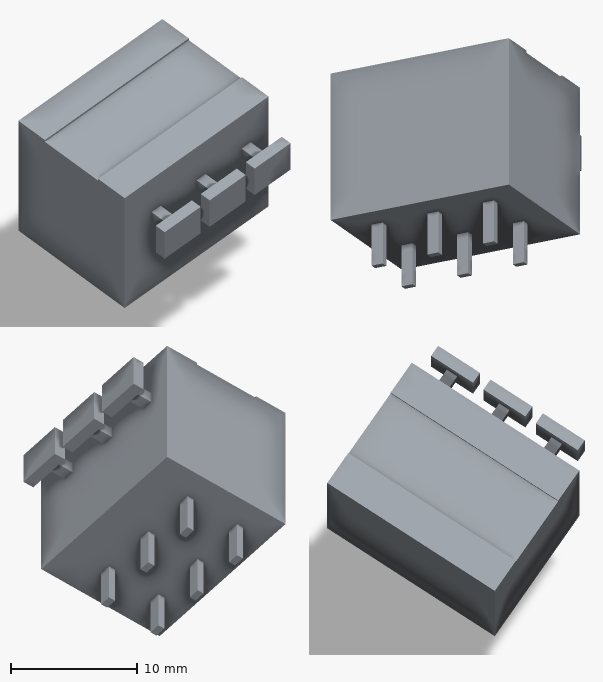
import cadquery as cq

MODULE_COUNT = 3
PITCH = 5.0
HOUSING_LENGTH = 12.0
HOUSING_HEIGHT = 12.5
END_PLATE_THICKNESS = 1.0

RECESS_WIDTH = 6.0
RECESS_DEPTH = 0.2
RECESS_START = (HOUSING_LENGTH - RECESS_WIDTH) / 2

PIN_THICKNESS = 0.6
PIN_WIDTH = 1.0
PIN_LENGTH = 3.5
PIN_SPACING = 5.0
FIRST_PIN_X = 2.7
PIN_Y = 2.1

LEVER_Y = PITCH / 2
LEVER_Z = 8.25
STEM_SIZE = 1.0
STEM_LENGTH = 2.0
PAD_THICKNESS = 1.0
PAD_WIDTH = 4.0
PAD_HEIGHT = 3.0


def make_slice(y_start, thickness):
    """Housing slice with the marking recess running through its top."""
    recess_end = RECESS_START + RECESS_WIDTH
    recess_floor = HOUSING_HEIGHT - RECESS_DEPTH
    return (
        cq.Workplane("XZ", origin=(0, y_start, 0))
        .moveTo(0, 0)
        .lineTo(HOUSING_LENGTH, 0)
        .lineTo(HOUSING_LENGTH, HOUSING_HEIGHT)
        .lineTo(recess_end, HOUSING_HEIGHT)
        .lineTo(recess_end, recess_floor)
        .lineTo(RECESS_START, recess_floor)
        .lineTo(RECESS_START, HOUSING_HEIGHT)
        .lineTo(0, HOUSING_HEIGHT)
        .close()
        .extrude(-thickness)
    )


def make_pins(y_start):
    """Pair of solder pins below one module."""
    return (
        cq.Workplane("XY", origin=(FIRST_PIN_X, y_start + PIN_Y, 0))
        .pushPoints([(0, 0), (PIN_SPACING, 0)])
        .rect(PIN_THICKNESS, PIN_WIDTH)
        .extrude(-PIN_LENGTH)
    )


def make_lever(y_start):
    """Stem and push pad standing out from the +X face of one module."""
    stem = (
        cq.Workplane("YZ", origin=(HOUSING_LENGTH, y_start + LEVER_Y, LEVER_Z))
        .rect(STEM_SIZE, STEM_SIZE)
        .extrude(STEM_LENGTH)
    )
    pad = (
        stem.faces(">X")
        .workplane()
        .rect(PAD_WIDTH, PAD_HEIGHT)
        .extrude(PAD_THICKNESS)
    )
    return pad


def make_module(y_start):
    """One terminal module: housing slice, pins and lever in one solid."""
    return make_slice(y_start, PITCH).union(make_pins(y_start)).union(make_lever(y_start))


end_plate = make_slice(0, END_PLATE_THICKNESS)
modules = [make_module(END_PLATE_THICKNESS + index * PITCH) for index in range(MODULE_COUNT)]

result = cq.Compound.makeCompound([end_plate.val(), *[module.val() for module in modules]])